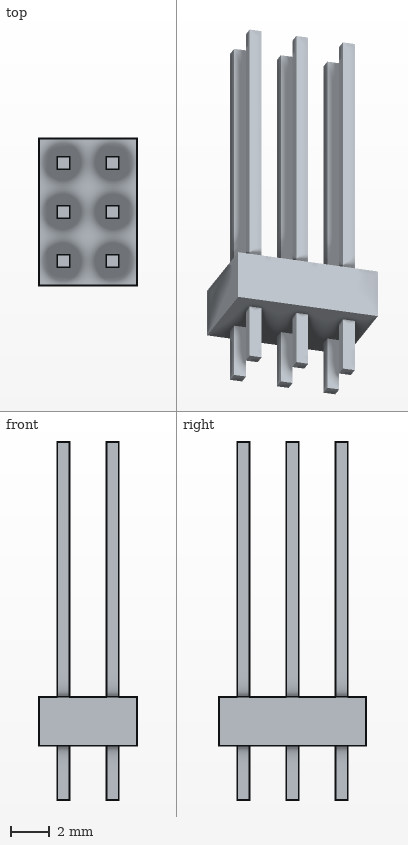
import cadquery as cq

pitch = 2.54
columns = 2
rows = 3
pin_width = 0.65
pin_length = 18.54
tail_length = 2.8

body_width = columns * pitch
body_depth = rows * pitch
body_height = pitch


def make_body():
    return cq.Workplane("XY").box(body_width, body_depth, body_height, centered=(True, True, False))


def make_pins():
    return (
        cq.Workplane("XY")
        .workplane(offset=-tail_length)
        .rarray(pitch, pitch, columns, rows)
        .rect(pin_width, pin_width)
        .extrude(pin_length)
    )


result = make_body().union(make_pins())